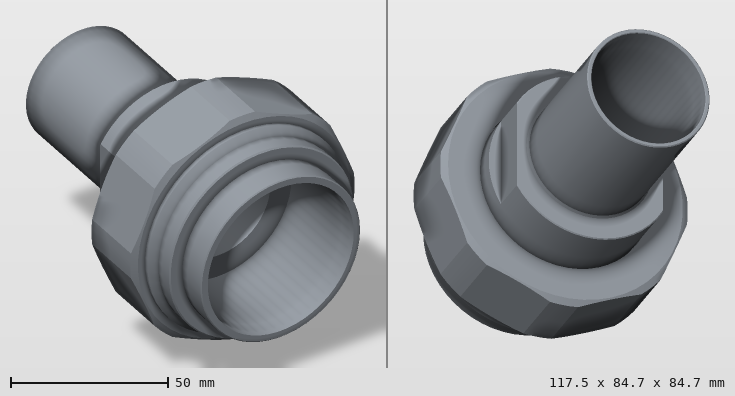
import cadquery as cq
import math

length = 117.5
collar_start = 50.0
flat_end = 64.0
nut_start = 71.0
nut_end = 96.1
nut_lip = 5.3
flange_thickness = 4.7
thread_end = 97.5
body_step = 106.6
flange_start = nut_start + nut_lip
joint = flange_start + flange_thickness

tube_d = 42.0
tube_bore_d = 39.0
weld_d = 43.4
collar_d = 58.0
collar_flats = 49.8
flange_d = 72.3
tube_outer_chamfer = 0.4
tube_inner_chamfer = 0.2
collar_chamfer = 0.4

nut_corner_d = 84.7
nut_flats = 81.4
nut_face_d = 80.4
nut_chamfer_length = 1.2
nut_lip_bore_d = 58.5

thread_d = 75.1
shoulder_d = 70.0
pipe_d = 60.3
pipe_bore_d = 55.1
shoulder_chamfer = 0.5
pipe_chamfer = 0.4


def revolve_about_x(points):
    """Revolve a closed outline of (x, radius) points about the X axis."""
    return cq.Workplane("XY").polyline(points).close().revolve(360, (0, 0, 0), (1, 0, 0))


def make_tailpiece():
    bore_r = tube_bore_d / 2
    tube_r = tube_d / 2
    weld_r = weld_d / 2
    collar_r = collar_d / 2
    flange_r = flange_d / 2
    tail = revolve_about_x([
        (tube_inner_chamfer, bore_r),
        (0, bore_r + tube_inner_chamfer),
        (0, tube_r - tube_outer_chamfer),
        (tube_outer_chamfer, tube_r),
        (collar_start - (weld_r - tube_r), tube_r),
        (collar_start, weld_r),
        (collar_start, collar_r - collar_chamfer),
        (collar_start + collar_chamfer, collar_r),
        (flange_start, collar_r),
        (flange_start, flange_r),
        (joint, flange_r),
        (joint, bore_r),
    ])
    flat_length = flat_end - collar_start
    for side in (-1, 1):
        cutter = cq.Workplane("XY").box(flat_length, collar_d, collar_d, centered=(False, True, True))
        tail = tail.cut(cutter.translate((collar_start, side * (collar_flats + collar_d) / 2, 0)))
    return tail


def make_nut():
    nut_length = nut_end - nut_start
    corner_r = nut_corner_d / 2
    face_r = nut_face_d / 2
    sharp_corner_d = nut_flats / math.cos(math.pi / 8)
    octagon = cq.Workplane("YZ", origin=(nut_start, 0, 0)).polygon(8, sharp_corner_d).extrude(nut_length)
    envelope = revolve_about_x([
        (nut_start, 0),
        (nut_start, face_r),
        (nut_start + nut_chamfer_length, corner_r),
        (nut_end - nut_chamfer_length, corner_r),
        (nut_end, face_r),
        (nut_end, 0),
    ])
    lip_bore = cq.Workplane("YZ", origin=(nut_start, 0, 0)).circle(nut_lip_bore_d / 2).extrude(nut_length)
    thread_bore = cq.Workplane("YZ", origin=(flange_start, 0, 0)).circle(thread_d / 2).extrude(nut_length)
    return octagon.intersect(envelope).cut(lip_bore).cut(thread_bore)


def make_threaded_body():
    bore_r = pipe_bore_d / 2
    thread_r = thread_d / 2
    shoulder_r = shoulder_d / 2
    pipe_r = pipe_d / 2
    runout_end = thread_end + thread_r - shoulder_r
    return revolve_about_x([
        (joint, bore_r),
        (joint, thread_r),
        (thread_end, thread_r),
        (runout_end, shoulder_r),
        (body_step - shoulder_chamfer, shoulder_r),
        (body_step, shoulder_r - shoulder_chamfer),
        (body_step, pipe_r),
        (length - pipe_chamfer, pipe_r),
        (length, pipe_r - pipe_chamfer),
        (length, bore_r),
    ])


tailpiece = make_tailpiece()
nut = make_nut()
threaded_body = make_threaded_body()

result = cq.Compound.makeCompound([tailpiece.val(), nut.val(), threaded_body.val()])